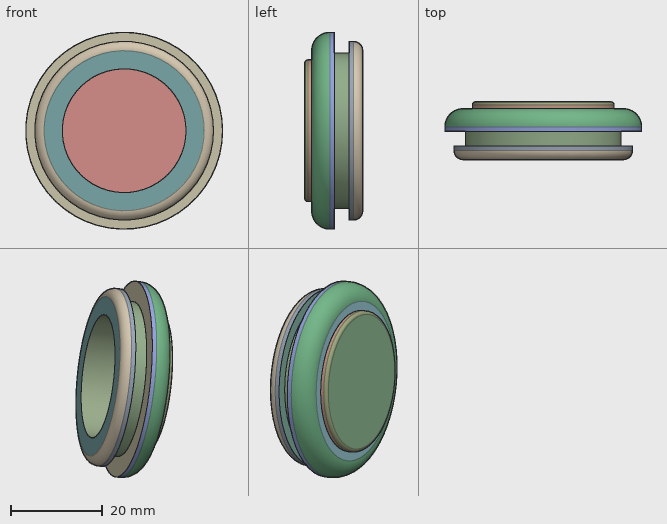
import cadquery as cq

rim_diameter = 43.0
lip_diameter = 39.0
neck_diameter = 34.0
boss_diameter = 31.0
bore_diameter = 27.0

lip_thickness = 3.0
neck_length = 3.2
rim_thickness = 5.0
boss_height = 1.5

lip_fillet = 2.0
rim_fillet = 4.0
boss_fillet = 0.75

bore_depth = 10.7


def disc(diameter, start, thickness):
    """Solid disc on the Y axis, extending from start towards +Y."""
    plane = cq.Workplane("XZ", origin=(0, start, 0))
    return plane.circle(diameter / 2).extrude(-thickness)


total_length = lip_thickness + neck_length + rim_thickness + boss_height
lip_start = -total_length / 2
neck_start = lip_start + lip_thickness
rim_start = neck_start + neck_length
boss_start = rim_start + rim_thickness

lip = disc(lip_diameter, lip_start, lip_thickness).faces("<Y").edges().fillet(lip_fillet)
neck = disc(neck_diameter, neck_start, neck_length)
rim = disc(rim_diameter, rim_start, rim_thickness).faces(">Y").edges().fillet(rim_fillet)
boss = disc(boss_diameter, boss_start, boss_height).faces(">Y").edges().fillet(boss_fillet)

bore = disc(bore_diameter, lip_start, bore_depth)

result = lip.union(neck).union(rim).union(boss).cut(bore)